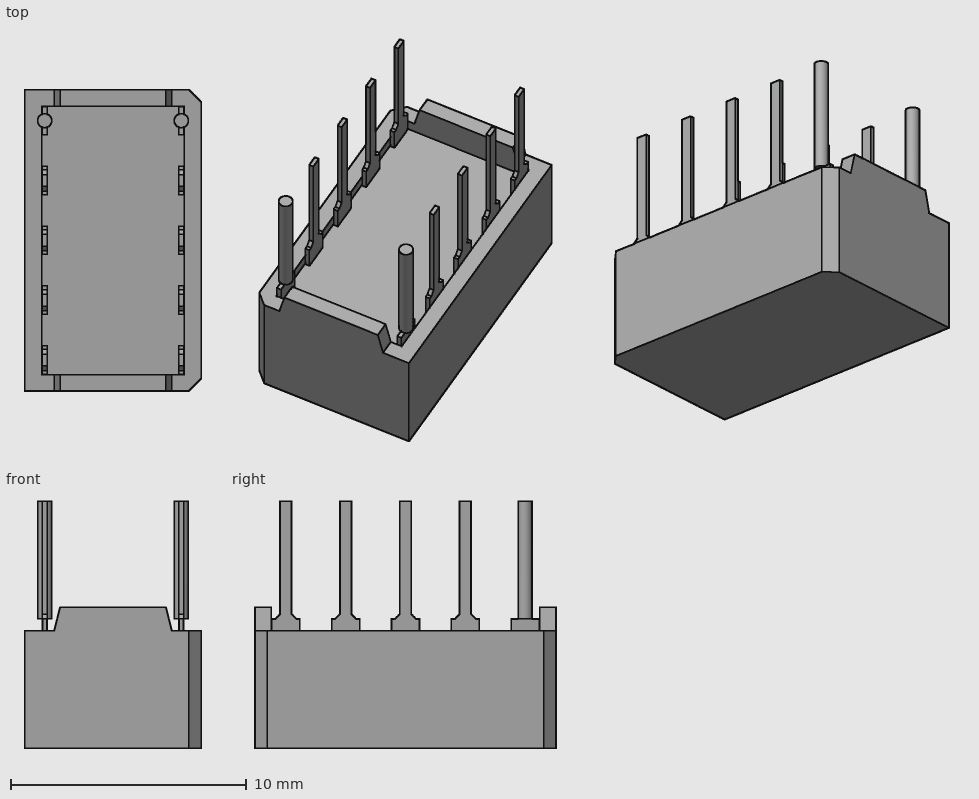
import cadquery as cq

body_width = 7.5
body_length = 12.8
body_height = 5.0
corner_chamfer = 0.525
cavity_width = 6.05
end_wall = 0.7
cavity_length = body_length - 2 * end_wall
cavity_depth = 0.5
floor_z = body_height - cavity_depth

ridge_base_width = 5.0
ridge_top_width = 4.5
ridge_height = 1.0

pin_top_z = 10.5
row_spacing = 5.8
pin_pitch = 2.54
pins_per_row = 5
pin_thickness = 0.2
pin_width = 0.5
pad_width = 1.2
pad_rise = 0.5
pad_top_z = body_height + pad_rise
shoulder_taper = 0.2
round_pin_diameter = 0.6


def make_housing():
    """Box with two chamfered +X corners and a shallow rectangular cavity."""
    block = cq.Workplane("XY").box(
        body_width, body_length, body_height, centered=(True, True, False)
    )
    block = block.edges("|Z and >X").chamfer(corner_chamfer)
    cavity = (
        cq.Workplane("XY", origin=(0, 0, floor_z))
        .rect(cavity_width, cavity_length)
        .extrude(cavity_depth)
    )
    return block.cut(cavity)


def make_ridge(y_min):
    """Trapezoidal ridge as thick as an end wall, starting at y_min."""
    half_base = ridge_base_width / 2
    half_top = ridge_top_width / 2
    ridge_top_z = body_height + ridge_height
    return (
        cq.Workplane("XZ", origin=(0, y_min, 0))
        .polyline([
            (-half_base, body_height),
            (half_base, body_height),
            (half_top, ridge_top_z),
            (-half_top, ridge_top_z),
        ])
        .close()
        .extrude(-end_wall)
    )


def make_pad(x, y):
    """Flat rectangular foot of a pin, standing on the cavity floor."""
    return (
        cq.Workplane("XY", origin=(x, y, floor_z))
        .rect(pin_thickness, pad_width)
        .extrude(pad_top_z - floor_z)
    )


def make_flat_pin(x, y):
    """Flat blade that flares out through sloped shoulders onto its pad."""
    half_pin = pin_width / 2
    half_flare = half_pin + shoulder_taper
    shoulder_z = pad_top_z + shoulder_taper
    blade = (
        cq.Workplane("YZ", origin=(x, y, 0))
        .polyline([
            (-half_flare, pad_top_z),
            (half_flare, pad_top_z),
            (half_pin, shoulder_z),
            (half_pin, pin_top_z),
            (-half_pin, pin_top_z),
            (-half_pin, shoulder_z),
        ])
        .close()
        .extrude(pin_thickness / 2, both=True)
    )
    return make_pad(x, y).union(blade)


def make_round_pin(x, y):
    """Cylindrical pin standing on a flat pad."""
    cylinder = (
        cq.Workplane("XY", origin=(x, y, pad_top_z))
        .circle(round_pin_diameter / 2)
        .extrude(pin_top_z - pad_top_z)
    )
    return make_pad(x, y).union(cylinder)


result = make_housing()

for ridge_start in (-body_length / 2, body_length / 2 - end_wall):
    result = result.union(make_ridge(ridge_start))

first_pin_y = -pin_pitch * (pins_per_row - 1) / 2
last_pin_y = -first_pin_y
for row_x in (-row_spacing / 2, row_spacing / 2):
    for index in range(pins_per_row - 1):
        result = result.union(make_flat_pin(row_x, first_pin_y + index * pin_pitch))
    result = result.union(make_round_pin(row_x, last_pin_y))